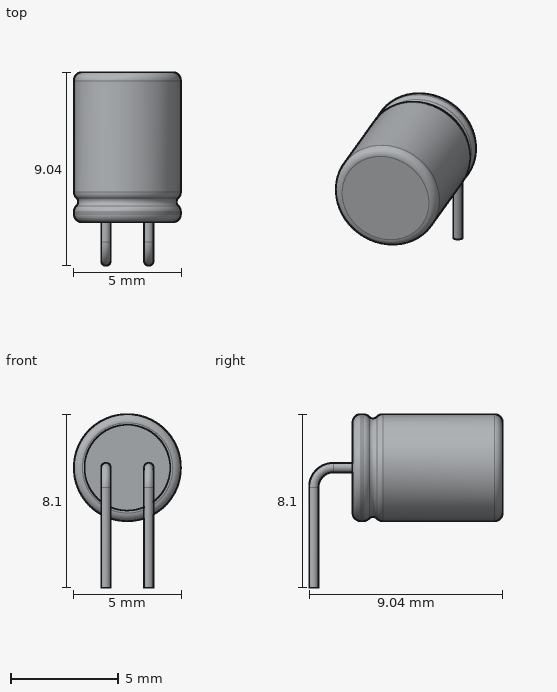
import cadquery as cq
import math


can_diameter = 5.0
can_length = 7.01
edge_radius = 0.4

groove_position = 0.96
groove_depth = 0.2
groove_floor_radius = 0.25
groove_lip_radius = 0.4

seal_diameter = 4.0
seal_recess = 0.1

lead_diameter = 0.45
lead_pitch = 2.0
lead_reach = 1.8
lead_bend_radius = 0.9
lead_drop = 5.6

can_radius = can_diameter / 2


def make_can():
    """Revolve the half profile of the can, drawn with radius along X and the axis along Y."""
    corner_offset = edge_radius * (1 - math.sqrt(0.5))
    radii_sum = groove_floor_radius + groove_lip_radius
    slope = math.acos(1 - groove_depth / radii_sum)
    groove_half_width = radii_sum * math.sin(slope)
    floor_half_width = groove_floor_radius * math.sin(slope)
    floor_end_radius = can_radius - groove_lip_radius * (1 - math.cos(slope))
    lip_mid_inset = groove_lip_radius * math.sin(slope / 2)
    lip_mid_radius = can_radius - groove_lip_radius * (1 - math.cos(slope / 2))

    groove_start = groove_position - groove_half_width
    groove_end = groove_position + groove_half_width

    profile = (
        cq.Workplane("XY")
        .lineTo(can_radius - edge_radius, 0)
        .threePointArc((can_radius - corner_offset, corner_offset), (can_radius, edge_radius))
        .lineTo(can_radius, groove_start)
        .threePointArc(
            (lip_mid_radius, groove_start + lip_mid_inset),
            (floor_end_radius, groove_position - floor_half_width),
        )
        .threePointArc(
            (can_radius - groove_depth, groove_position),
            (floor_end_radius, groove_position + floor_half_width),
        )
        .threePointArc((lip_mid_radius, groove_end - lip_mid_inset), (can_radius, groove_end))
        .lineTo(can_radius, can_length - edge_radius)
        .threePointArc(
            (can_radius - corner_offset, can_length - corner_offset),
            (can_radius - edge_radius, can_length),
        )
        .lineTo(0, can_length)
        .close()
    )
    return profile.revolve(360, (0, 0, 0), (0, 1, 0))


def make_seal_recess():
    """Disc removed from the lead end of the can."""
    return cq.Workplane("XZ").circle(seal_diameter / 2).extrude(-seal_recess)


def make_lead(x):
    """Lead running out of the seal along -Y, then bent down to -Z."""
    bend_start = -(lead_reach - lead_bend_radius)
    bend_mid = (
        bend_start - lead_bend_radius * math.sqrt(0.5),
        -lead_bend_radius * (1 - math.sqrt(0.5)),
    )
    path = (
        cq.Workplane("YZ", origin=(x, 0, 0))
        .moveTo(seal_recess, 0)
        .lineTo(bend_start, 0)
        .threePointArc(bend_mid, (-lead_reach, -lead_bend_radius))
        .lineTo(-lead_reach, -lead_drop)
    )
    section = cq.Workplane("XZ", origin=(x, seal_recess, 0)).circle(lead_diameter / 2)
    return section.sweep(path)


result = make_can().cut(make_seal_recess())
for side in (-1, 1):
    result = result.union(make_lead(side * lead_pitch / 2))